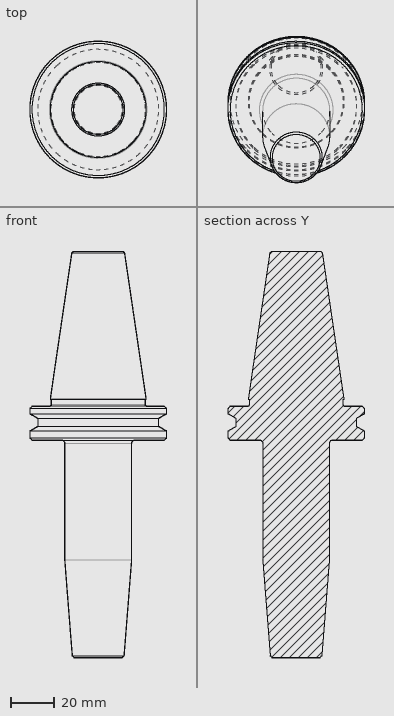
import cadquery as cq
import math

total_height = 188.4
flange_top = 116.6
flange_thickness = 15.8
flange_bottom = flange_top - flange_thickness
nose_taper_top = 45.2

gauge_diameter = 44.5
gauge_height = 120.2
taper_ratio = 7 / 24
taper_end_chamfer = 0.8
collar_diameter = 43.7
collar_fillet = 0.8
gauge_band_height = 0.5

flange_diameter = 63.5
groove_floor_diameter = 56.0
flange_chamfer = 1.1
groove_floor_height = 3.5
groove_center = 109.0
groove_wall_angle = 60.0

shank_diameter = 31.0
shank_fillet = 1.5
nose_diameter = 24.1
nose_chamfer = 1.0

flange_radius = flange_diameter / 2
groove_floor_radius = groove_floor_diameter / 2
shank_radius = shank_diameter / 2
nose_radius = nose_diameter / 2
gauge_radius = gauge_diameter / 2
collar_radius = collar_diameter / 2
taper_end_radius = gauge_radius - taper_ratio * (total_height - gauge_height) / 2

groove_half_floor = groove_floor_height / 2
groove_wall_height = (flange_radius - groove_floor_radius) / math.tan(math.radians(groove_wall_angle))
groove_half_mouth = groove_half_floor + groove_wall_height

fillet_mid_inset = shank_fillet * (1 - math.sqrt(0.5))
fillet_middle = (shank_radius + fillet_mid_inset, flange_bottom - fillet_mid_inset)
fillet_end = (shank_radius + shank_fillet, flange_bottom)

collar_mid_inset = collar_fillet * (1 - math.sqrt(0.5))
collar_fillet_middle = (collar_radius + collar_mid_inset, flange_top + collar_mid_inset)
collar_fillet_end = (collar_radius, flange_top + collar_fillet)


def add_nose_and_shank(profile):
    return (
        profile.lineTo(nose_radius - nose_chamfer, 0)
        .lineTo(nose_radius, nose_chamfer)
        .lineTo(shank_radius, nose_taper_top)
        .lineTo(shank_radius, flange_bottom - shank_fillet)
        .threePointArc(fillet_middle, fillet_end)
    )


def add_flange(profile):
    return (
        profile.lineTo(flange_radius - flange_chamfer, flange_bottom)
        .lineTo(flange_radius, flange_bottom + flange_chamfer)
        .lineTo(flange_radius, groove_center - groove_half_mouth)
        .lineTo(groove_floor_radius, groove_center - groove_half_floor)
        .lineTo(groove_floor_radius, groove_center + groove_half_floor)
        .lineTo(flange_radius, groove_center + groove_half_mouth)
        .lineTo(flange_radius, flange_top - flange_chamfer)
        .lineTo(flange_radius - flange_chamfer, flange_top)
    )


def add_machine_taper(profile):
    return (
        profile.lineTo(collar_radius + collar_fillet, flange_top)
        .threePointArc(collar_fillet_middle, collar_fillet_end)
        .lineTo(collar_radius, gauge_height - gauge_band_height)
        .lineTo(gauge_radius, gauge_height - gauge_band_height)
        .lineTo(gauge_radius, gauge_height)
        .lineTo(taper_end_radius, total_height - taper_end_chamfer)
        .lineTo(taper_end_radius - taper_end_chamfer, total_height)
        .lineTo(0, total_height)
    )


profile = cq.Workplane("XZ").moveTo(0, 0)
profile = add_nose_and_shank(profile)
profile = add_flange(profile)
profile = add_machine_taper(profile)
result = profile.close().revolve(360, (0, 0, 0), (0, 1, 0))